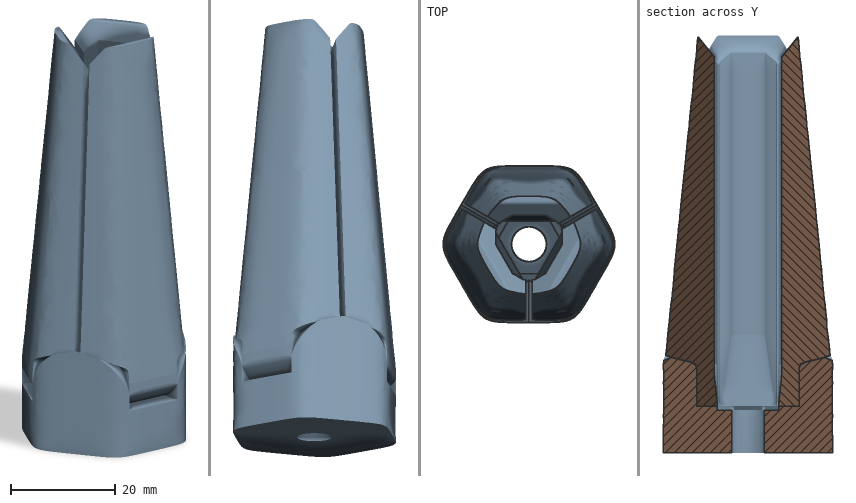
import cadquery as cq
import math

HEIGHT = 80.0
BASE_APOTHEM = 15.0
TOP_APOTHEM = 9.2
TAPER_START = 14.5
BASE_FLAT_HALF = 2.8
TOP_FLAT_HALF = 0.2
CORNER_PULL = 0.93

FLOOR_Z = 9.0
HOLE_DIAMETER = 6.6
RECESS_APOTHEM = 5.7
RECESS_DEPTH = 0.8
DOME_TOP = 20.6
DOME_RADIUS = 10.1
TAB_WIDTH = 12.0

SHOULDER_Z = 17.2
SHOULDER_RADIUS = 1.3

JAW_COUNT = 3
JAW_ANGLE = 360 / JAW_COUNT
GAP = 1.2
HEEL_TOP = 12.8
HEEL_TOP_RADIUS = 1.6
HEEL_FOOT_RADIUS = 4.1

BORE_HEX_APOTHEM = 6.4
BORE_GAP_APOTHEM = 6.8
UPPER_GRIP = 5.5
LOWER_GRIP = 4.4
GRIP_DRAFT_TOP = 22.7
FUNNEL_BOTTOM = 76.7
FUNNEL_SLOPE = 0.7
RIM_RADIUS = 0.8

REACH = 2 * BASE_APOTHEM
COS_30 = math.cos(math.radians(30))
TAN_30 = math.tan(math.radians(30))


def rounded_hexagon(workplane, apothem, flat_half):
    """Closed hexagon with flats on +Y and -Y and softly curved corners."""
    side_half = apothem * TAN_30
    handle = flat_half + CORNER_PULL * (side_half - flat_half)

    def on_side(side, along):
        angle = math.radians(90 + 60 * side)
        return (
            apothem * math.cos(angle) - along * math.sin(angle),
            apothem * math.sin(angle) + along * math.cos(angle),
        )

    outline = workplane.moveTo(*on_side(0, -flat_half))
    for side in range(6):
        outline = outline.lineTo(*on_side(side, flat_half))
        corner = [
            on_side(side, handle),
            on_side(side + 1, -handle),
            on_side(side + 1, -flat_half),
        ]
        outline = outline.bezier(corner, includeCurrent=True)
    return outline.close()


def hexagon_prism(apothem, bottom, top):
    """Sharp hexagonal prism with flats on +Y and -Y."""
    plane = cq.Workplane("XY").workplane(offset=bottom)
    return plane.polygon(6, 2 * apothem / COS_30).extrude(top - bottom)


def turned(shape, angle):
    return shape.rotate((0, 0, 0), (0, 0, 1), angle)


def across_jaw(points):
    """Extrude an outline of (distance from axis, height) sideways across the +Y jaw."""
    return cq.Workplane("YZ").polyline(points).close().extrude(REACH, both=True)


def jaw_shoulder_space():
    """Space of the +Y jaw: a tab between the posts, widening along its shoulders."""
    tab_half = TAB_WIDTH / 2
    dome_x = BASE_APOTHEM * COS_30
    slope = (DOME_TOP - SHOULDER_Z) / (dome_x - tab_half)
    reach_z = SHOULDER_Z + slope * (REACH - tab_half)
    outline = [
        (-tab_half, FLOOR_Z),
        (tab_half, FLOOR_Z),
        (tab_half, SHOULDER_Z),
        (REACH, reach_z),
        (REACH, HEIGHT),
        (-REACH, HEIGHT),
        (-REACH, reach_z),
        (-tab_half, SHOULDER_Z),
    ]
    space = cq.Workplane("XZ").polyline(outline).close().extrude(-REACH)
    for side in (-1, 1):
        corner = cq.NearestToPointSelector((side * tab_half, REACH / 2, SHOULDER_Z))
        space = space.edges(corner).fillet(SHOULDER_RADIUS)
    return space


def dome_side_waste():
    """Material beside and above the arch on the -Y side."""
    spring_z = DOME_TOP - DOME_RADIUS
    outline = (
        cq.Workplane("XZ")
        .moveTo(-DOME_RADIUS, spring_z)
        .threePointArc((0, DOME_TOP), (DOME_RADIUS, spring_z))
        .lineTo(DOME_RADIUS, HEIGHT)
        .lineTo(-DOME_RADIUS, HEIGHT)
        .close()
    )
    return outline.extrude(REACH)


def base_body():
    base = rounded_hexagon(cq.Workplane("XY"), BASE_APOTHEM, BASE_FLAT_HALF).extrude(DOME_TOP)
    for index in range(JAW_COUNT):
        base = base.cut(turned(jaw_shoulder_space(), index * JAW_ANGLE))
        base = base.cut(turned(dome_side_waste(), index * JAW_ANGLE))
    base = base.cut(hexagon_prism(RECESS_APOTHEM, FLOOR_Z - RECESS_DEPTH, FLOOR_Z))
    return base.cut(cq.Workplane("XY").circle(HOLE_DIAMETER / 2).extrude(FLOOR_Z))


def jaw_envelope():
    """Outer shape shared by the jaws: straight at the foot, tapered above."""
    foot_plane = cq.Workplane("XY").workplane(offset=FLOOR_Z)
    foot = rounded_hexagon(foot_plane, BASE_APOTHEM, BASE_FLAT_HALF).extrude(TAPER_START - FLOOR_Z)
    lower = cq.Workplane("XY").workplane(offset=TAPER_START)
    lower = rounded_hexagon(lower, BASE_APOTHEM, BASE_FLAT_HALF)
    upper = lower.workplane(offset=HEIGHT - TAPER_START)
    taper = rounded_hexagon(upper, TOP_APOTHEM, TOP_FLAT_HALF).loft(ruled=True)
    return foot.union(taper)


def jaw_sector():
    """Third of a turn around +Y, set back by half a gap on both sides."""
    tip = GAP / 2 / COS_30
    edge_y = tip + REACH * TAN_30
    outline = [(0, tip), (REACH, edge_y), (REACH, 2 * REACH), (-REACH, 2 * REACH), (-REACH, edge_y)]
    return cq.Workplane("XY").polyline(outline).close().extrude(HEIGHT)


def bore_space():
    """Cavity in front of the +Y jaw: faceted bore limited by the jaw's inner flat."""
    bore = turned(hexagon_prism(BORE_HEX_APOTHEM, 0, HEIGHT), 30)
    gap_facets = cq.Workplane("XY").polygon(3, 4 * BORE_GAP_APOTHEM).extrude(HEIGHT)
    bore = bore.intersect(turned(gap_facets, 90))
    flats = across_jaw([
        (0, FLOOR_Z),
        (LOWER_GRIP, FLOOR_Z),
        (UPPER_GRIP, GRIP_DRAFT_TOP),
        (UPPER_GRIP, HEIGHT),
        (0, HEIGHT),
    ])
    return bore.intersect(flats)


def funnel_space():
    """Sloped lead-in above the +Y jaw's inner flat, rounded over at the rim."""
    rim = UPPER_GRIP + FUNNEL_SLOPE * (HEIGHT - FUNNEL_BOTTOM)
    tip_z = FUNNEL_BOTTOM - UPPER_GRIP / FUNNEL_SLOPE
    lean = math.atan(FUNNEL_SLOPE)
    half_turn = (math.pi / 2 - lean) / 2
    setback = RIM_RADIUS * math.tan(half_turn)
    rim_out = rim + setback
    centre_z = HEIGHT - RIM_RADIUS
    arc_start = (rim - setback * math.sin(lean), HEIGHT - setback * math.cos(lean))
    arc_middle = (
        rim_out - RIM_RADIUS * math.sin(half_turn),
        centre_z + RIM_RADIUS * math.cos(half_turn),
    )
    outline = (
        cq.Workplane("YZ")
        .moveTo(0, tip_z)
        .lineTo(*arc_start)
        .threePointArc(arc_middle, (rim_out, HEIGHT))
        .lineTo(0, HEIGHT)
        .close()
    )
    return outline.extrude(REACH, both=True)


def heel_waste():
    """Material outside the +Y tab's heel: an arc, a 45 degree slope and an arc onto the floor."""
    half_turn = math.radians(22.5)
    full_turn = math.radians(45)
    bend_y = BASE_APOTHEM - HEEL_TOP_RADIUS
    bend_middle = (
        bend_y + HEEL_TOP_RADIUS * math.cos(half_turn),
        HEEL_TOP - HEEL_TOP_RADIUS * math.sin(half_turn),
    )
    slope_top = (
        bend_y + HEEL_TOP_RADIUS * math.cos(full_turn),
        HEEL_TOP - HEEL_TOP_RADIUS * math.sin(full_turn),
    )
    slope_bottom_z = FLOOR_Z + HEEL_FOOT_RADIUS * (1 - math.cos(full_turn))
    slope_bottom = (slope_top[0] - (slope_top[1] - slope_bottom_z), slope_bottom_z)
    foot_y = slope_bottom[0] - HEEL_FOOT_RADIUS * math.sin(full_turn)
    foot_middle = (
        foot_y + HEEL_FOOT_RADIUS * math.sin(half_turn),
        FLOOR_Z + HEEL_FOOT_RADIUS * (1 - math.cos(half_turn)),
    )
    outline = (
        cq.Workplane("YZ")
        .moveTo(BASE_APOTHEM, HEEL_TOP)
        .threePointArc(bend_middle, slope_top)
        .lineTo(*slope_bottom)
        .threePointArc(foot_middle, (foot_y, FLOOR_Z))
        .lineTo(REACH, FLOOR_Z)
        .lineTo(REACH, HEEL_TOP)
        .close()
    )
    return outline.extrude(TAB_WIDTH, both=True)


def jaw_body():
    """Jaw on the +Y side."""
    jaw = jaw_envelope().intersect(jaw_sector()).intersect(jaw_shoulder_space())
    jaw = jaw.cut(heel_waste())
    jaw = jaw.cut(bore_space())
    return jaw.cut(funnel_space())


base = base_body()
jaw = jaw_body()
jaws = [turned(jaw, index * JAW_ANGLE) for index in range(JAW_COUNT)]

result = cq.Compound.makeCompound([base.val(), *[copy.val() for copy in jaws]])